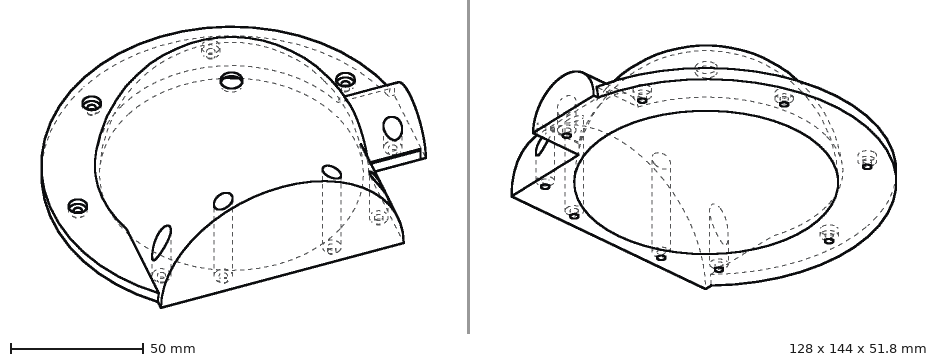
import cadquery as cq
import math

flange_radius = 72.0
flange_thickness = 5.0

dome_radius = 52.0
wall_thickness = 2.0
cavity_radius = dome_radius - wall_thickness
vent_diameter = 8.4

large_neck_radius = 49.0
large_neck_end = 56.0
small_neck_radius = 17.4
small_neck_end = flange_radius

screw_diameter = 3.2
head_diameter = 7.0
head_seat_height = flange_thickness / 2
bolt_circle_radius = 61.9
flange_hole_count = 7
flange_hole_pitch = 360 / flange_hole_count
plain_flange_hole_count = 4
first_hole_angle = -90.0
small_neck_hole = (10.4, 61.2)
large_neck_inner_hole = (42.5, 43.8)
large_neck_outer_hole = (50.7, 21.9)


def make_flange():
    """Round plate trimmed at the large neck end and between the necks.

    The corner cut reaches under the large neck, which fills that part again.
    """
    plate = cq.Workplane("XY").circle(flange_radius).extrude(flange_thickness)
    past_end = (
        cq.Workplane("XY")
        .center(large_neck_end, 0)
        .rect(2 * flange_radius, 2 * flange_radius)
        .extrude(flange_thickness)
        .translate((flange_radius, 0, 0))
    )
    corner = (
        cq.Workplane("XY")
        .moveTo(small_neck_radius, 0)
        .rect(flange_radius, flange_radius, centered=False)
        .extrude(flange_thickness)
    )
    return plate.cut(past_end).cut(corner)


def make_body():
    """Dome and both necks, cut flat at the base plane."""
    dome = cq.Workplane("XY").sphere(dome_radius)
    neck_start = math.sqrt(dome_radius**2 - large_neck_radius**2)
    dome_trim = (
        cq.Workplane("YZ")
        .workplane(offset=neck_start)
        .rect(2 * dome_radius, 2 * dome_radius)
        .extrude(dome_radius)
    )
    large_neck = cq.Workplane("YZ").circle(large_neck_radius).extrude(large_neck_end)
    small_neck = cq.Workplane("XZ").circle(small_neck_radius).extrude(-small_neck_end)
    lower_half = (
        cq.Workplane("XY")
        .rect(4 * flange_radius, 4 * flange_radius)
        .extrude(-flange_radius)
    )
    return dome.cut(dome_trim).union(large_neck).union(small_neck).cut(lower_half)


def screw_positions():
    """Plain flange holes on the bolt circle, then the holes through the necks."""
    points = []
    for i in range(plain_flange_hole_count):
        angle = math.radians(first_hole_angle - i * flange_hole_pitch)
        points.append((bolt_circle_radius * math.cos(angle), bolt_circle_radius * math.sin(angle)))
    points.append(small_neck_hole)
    for x, y in (large_neck_inner_hole, large_neck_outer_hole):
        points += [(x, y), (x, -y)]
    return points


def vertical_holes(points, diameter, bottom=0.0):
    """Vertical cylinders from the given height to above the dome."""
    return (
        cq.Workplane("XY", origin=(0, 0, bottom))
        .pushPoints(points)
        .circle(diameter / 2)
        .extrude(2 * dome_radius)
    )


screws = screw_positions()
result = (
    make_flange()
    .union(make_body())
    .cut(cq.Workplane("XY").sphere(cavity_radius))
    .cut(vertical_holes([(0, 0)], vent_diameter))
    .cut(vertical_holes(screws, screw_diameter))
    .cut(vertical_holes(screws, head_diameter, head_seat_height))
)